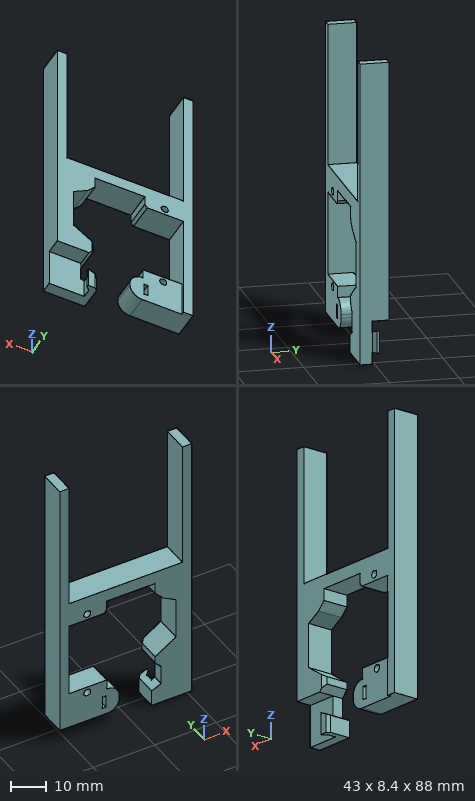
import cadquery as cq

width = 43.0
depth = 8.4
height = 88.0
arm_width = 3.1
left_foot_z = 3.0
right_edge = width / 2
left_edge = -right_edge
left_inner = left_edge + arm_width
right_inner = right_edge - arm_width

crossbar_top = 47.0
opening_top = 42.9
upper_block_bottom = 38.9
lower_block_top = 15.0
block_end = left_edge + 15.3
block_chamfer_x = 0.8
block_chamfer_z = 1.1
lower_block_depth = 7.4

tab_top = 11.7
tab_end = left_edge + 19.45
tab_radius = 3.9

hole_diameter = 2.2
hole_x = left_edge + 9.0
hole_heights = (13.0, 40.9)
slot_x = left_edge + 14.4
slot_z = 7.4
slot_width = 1.1
slot_height = 3.9

wall_x = left_edge + 37.8
wall_top = 34.5
wall_bottom = 21.3
overhang_x = left_edge + 31.1
upper_slope_top = 39.4
upper_slope_break = (left_edge + 33.4, 37.0)
overhang_top = 16.9
overhang_bottom = 14.7
notch_x = left_edge + 33.0
notch_top = 12.6
notch_bottom = 6.6
nose_x = left_edge + 29.9
nose_top = 5.2

plate_depth = 3.5
lip_back = 7.9
lip_chamfer = 0.9
lip_width = 2.0
barb_start = 6.2
overhang_chamfer = 1.1


def make_frame():
    outline = (
        cq.Workplane("XZ")
        .moveTo(left_edge, height)
        .lineTo(left_inner, height)
        .lineTo(left_inner, crossbar_top)
        .lineTo(right_inner, crossbar_top)
        .lineTo(right_inner, height)
        .lineTo(right_edge, height)
        .lineTo(right_edge, 0)
        .lineTo(nose_x, 0)
        .lineTo(nose_x, nose_top)
        .lineTo(notch_x, notch_bottom)
        .lineTo(notch_x, notch_top)
        .lineTo(overhang_x, overhang_bottom)
        .lineTo(overhang_x, overhang_top)
        .lineTo(wall_x, wall_bottom)
        .lineTo(wall_x, wall_top)
        .lineTo(*upper_slope_break)
        .lineTo(overhang_x, upper_slope_top)
        .lineTo(overhang_x, opening_top)
        .lineTo(block_end, opening_top)
        .lineTo(block_end, upper_block_bottom + block_chamfer_z)
        .lineTo(block_end - block_chamfer_x, upper_block_bottom)
        .lineTo(left_inner, upper_block_bottom)
        .lineTo(left_inner, lower_block_top)
        .lineTo(block_end, lower_block_top)
        .lineTo(block_end, tab_top)
        .lineTo(tab_end - tab_radius, tab_top)
        .radiusArc((tab_end, tab_top - tab_radius), tab_radius)
        .lineTo(tab_end, left_foot_z + tab_radius)
        .radiusArc((tab_end - tab_radius, left_foot_z), tab_radius)
        .lineTo(left_edge, left_foot_z)
        .close()
    )
    return outline.extrude(-depth)


def make_holes():
    centres = [(hole_x, z) for z in hole_heights]
    holes = cq.Workplane("XZ").pushPoints(centres).circle(hole_diameter / 2).extrude(-depth)
    slot = cq.Workplane("XZ").center(slot_x, slot_z).rect(slot_width, slot_height).extrude(-depth)
    return holes.union(slot)


def make_lower_block_relief():
    """Step that makes the lower block and tab shallower than the frame."""
    return cq.Workplane("XY").box(
        tab_end - left_inner,
        depth - lower_block_depth,
        lower_block_top,
        centered=False,
    ).translate((left_inner, lower_block_depth, 0))


def make_hook_relief():
    """Space behind the front plate, leaving the nose as a lip with a sloped barb."""
    inner_x = nose_x + lip_width
    plan = [
        (right_edge, plate_depth),
        (inner_x, plate_depth),
        (inner_x, barb_start),
        (notch_x, barb_start + notch_x - inner_x),
        (notch_x, lip_back),
        (nose_x + lip_chamfer, lip_back),
        (nose_x, lip_back - lip_chamfer),
        (nose_x, depth),
        (right_edge, depth),
    ]
    return cq.Workplane("XY").polyline(plan).close().extrude(notch_top)


def make_overhang_chamfer():
    """Vertical chamfer on the rear edge of the overhang."""
    plan = [
        (overhang_x, depth - overhang_chamfer),
        (overhang_x, depth),
        (overhang_x + overhang_chamfer, depth),
    ]
    return (
        cq.Workplane("XY", origin=(0, 0, notch_top))
        .polyline(plan)
        .close()
        .extrude(wall_bottom - notch_top)
    )


result = (
    make_frame()
    .cut(make_holes())
    .cut(make_lower_block_relief())
    .cut(make_hook_relief())
    .cut(make_overhang_chamfer())
)